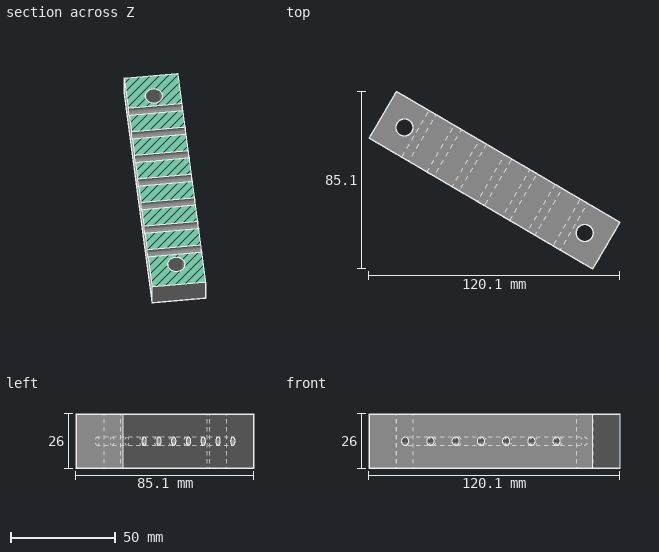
import cadquery as cq
import math

overall_x = 120.1
bar_width = 26.0
bar_height = bar_width
bar_tilt = 30.35
tilt_radians = math.radians(bar_tilt)
bar_length = (overall_x - bar_width * math.sin(tilt_radians)) / math.cos(tilt_radians)

mount_diameter = 8.0
mount_spacing = 100.0

cross_diameter = 4.0
cross_span = 84.0
cross_count = 7
cross_pitch = cross_span / (cross_count - 1)


def make_bar():
    return cq.Workplane("XY").box(bar_length, bar_width, bar_height)


def drill_mounting_holes(body):
    return (
        body.faces(">Z").workplane(origin=(0, 0, 0))
        .rarray(mount_spacing, 1.2, 2, 1)
        .hole(mount_diameter)
    )


def drill_cross_holes(body):
    return (
        body.faces("<Y").workplane(origin=(0, 0, 0))
        .rarray(cross_pitch, 1.2, cross_count, 1)
        .hole(cross_diameter)
    )


straight_bar = drill_cross_holes(drill_mounting_holes(make_bar()))
result = straight_bar.rotate((0, 0, 0), (0, 0, 1), -bar_tilt)